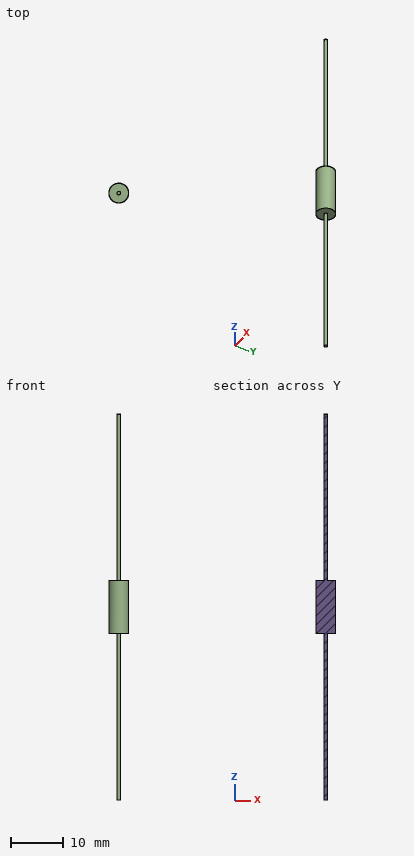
import cadquery as cq

body_diameter = 3.81
body_length = 10.16
lead_diameter = 0.675
overall_length = 73.66

body_radius = body_diameter / 2
lead_radius = lead_diameter / 2
body_end = body_length / 2
lead_tip = overall_length / 2

half_section = (
    cq.Workplane("XZ")
    .moveTo(0, -lead_tip)
    .lineTo(-lead_radius, -lead_tip)
    .lineTo(-lead_radius, -body_end)
    .lineTo(-body_radius, -body_end)
    .lineTo(-body_radius, body_end)
    .lineTo(-lead_radius, body_end)
    .lineTo(-lead_radius, lead_tip)
    .lineTo(0, lead_tip)
    .close()
)

result = half_section.revolve(360, (0, 0), (0, 1))